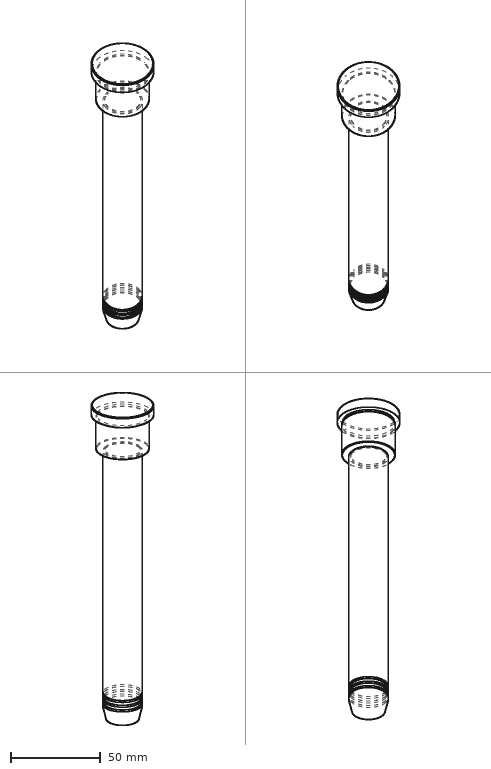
import cadquery as cq

length = 192.0

head_radius = 17.5
head_height = 6.0
head_chamfer = 0.5
collar_radius = 15.0
collar_bottom = length - 26.9
collar_chamfer = 0.4

shank_diameter = 22.0
shank_radius = shank_diameter / 2
tip_height = 7.5
tip_radius = 9.2
tip_edge_radius = 0.4

head_relief_width = 1.3
head_relief_depth = 0.4
collar_relief_width = 1.0
collar_relief_depth = 1.0

groove_count = 3
groove_width = 1.2
groove_pitch = 2.9
first_groove_center = tip_height + groove_pitch - groove_width / 2


def cylinder(radius, bottom, top):
    return cq.Workplane("XY").workplane(offset=bottom).circle(radius).extrude(top - bottom)


def ring_cutter(radius, depth, bottom, width):
    """Ring that cuts a groove of the given depth into a cylinder."""
    outer = cylinder(radius + depth, bottom, bottom + width)
    return outer.cut(cylinder(radius - depth, bottom, bottom + width))


def round_groove_cutter(radius, center_height, width):
    """Torus that cuts a half-round groove into a cylinder."""
    torus = cq.Solid.makeTorus(radius, width / 2, cq.Vector(0, 0, center_height))
    return cq.Workplane("XY").newObject([torus])


def make_tip():
    """Cone that narrows to a flat end with a rounded edge."""
    cone = cq.Workplane("XY").newObject(
        [cq.Solid.makeCone(tip_radius, shank_radius, tip_height)]
    )
    return cone.faces("<Z").edges().fillet(tip_edge_radius)


head_bottom = length - head_height
head = cylinder(head_radius, head_bottom, length).faces(">Z").edges().chamfer(head_chamfer)
collar = cylinder(collar_radius, collar_bottom, head_bottom)
collar = collar.faces("<Z").edges().chamfer(collar_chamfer)
shank = cylinder(shank_radius, tip_height, collar_bottom)
result = make_tip().union(shank).union(collar).union(head)

result = result.cut(
    ring_cutter(collar_radius, head_relief_depth, head_bottom - head_relief_width, head_relief_width)
)
result = result.cut(
    ring_cutter(shank_radius, collar_relief_depth, collar_bottom - collar_relief_width, collar_relief_width)
)
for index in range(groove_count):
    groove_center = first_groove_center + index * groove_pitch
    result = result.cut(round_groove_cutter(shank_radius, groove_center, groove_width))